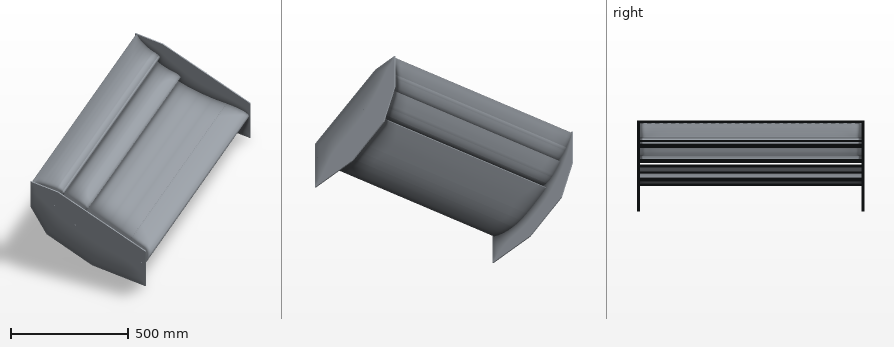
import cadquery as cq


span = 960.0
plate_length = 555.0
plate_height = 380.0
plate_thickness = 5.0
foil_span = span - 2 * plate_thickness

top_flat_length = 133.0
front_edge_height = 222.0
bottom_flat_start = 297.0
rear_corner_height = 222.0
lower_corner = (78.0, 84.0)

hole_diameter = 5.0
hole_centres = [(116.0, 286.0), (216.0, 216.0), (536.0, 141.0)]

upper_flap_start = (9.0, 379.0)
upper_flap_arcs = [
    ((42.0, 337.0), (88.0, 310.0)),
    ((103.0, 306.0), (114.0, 298.0)),
    ((121.0, 289.0), (114.0, 281.0)),
    ((109.0, 279.0), (105.0, 279.0)),
    ((93.0, 281.0), (82.0, 286.0)),
    ((66.0, 296.0), (52.0, 309.0)),
    ((46.0, 315.0), (42.0, 322.0)),
    ((20.0, 347.0), (4.0, 373.0)),
]

lower_flap_start = (86.0, 274.0)
lower_flap_arcs = [
    ((131.0, 246.0), (181.0, 233.0)),
    ((198.0, 230.0), (211.0, 225.0)),
    ((218.0, 220.0), (221.0, 216.0)),
    ((218.0, 211.0), (211.0, 209.0)),
    ((195.0, 208.0), (179.0, 208.0)),
    ((160.0, 213.0), (144.0, 222.0)),
    ((136.0, 226.0), (129.0, 231.0)),
    ((105.0, 251.0), (84.0, 271.0)),
]

main_plane_start = (192.0, 189.0)
main_plane_arcs = [
    ((312.0, 164.0), (440.0, 162.0)),
    ((442.0, 163.0), (444.0, 162.0)),
    ((485.0, 162.0), (525.0, 156.0)),
    ((536.0, 153.0), (544.0, 147.0)),
    ((548.0, 143.0), (550.0, 137.0)),
    ((548.0, 132.0), (544.0, 129.0)),
    ((480.0, 112.0), (413.0, 108.0)),
    ((386.0, 110.0), (360.0, 115.0)),
    ((338.0, 121.0), (317.0, 128.0)),
    ((248.0, 155.0), (181.0, 186.0)),
    ((184.0, 192.0), main_plane_start),
]


def xz_plane(y):
    """Sketch plane at the given Y whose normal points toward -Y."""
    return cq.Workplane("XZ", origin=(0, y, 0))


def make_end_plate(outer_y):
    """Flat plate with its -Y face at outer_y and three through holes."""
    outline = [
        (0, plate_height),
        (top_flat_length, plate_height),
        (plate_length, front_edge_height),
        (plate_length, 0),
        (bottom_flat_start, 0),
        lower_corner,
        (0, rear_corner_height),
    ]
    plate = xz_plane(outer_y).polyline(outline).close().extrude(-plate_thickness)
    holes = (
        xz_plane(outer_y)
        .pushPoints(hole_centres)
        .circle(hole_diameter / 2)
        .extrude(-plate_thickness)
    )
    return plate.cut(holes)


def make_foil(start, arcs):
    """Foil of constant section filling the space between the end plates."""
    section = xz_plane(plate_thickness).moveTo(*start)
    for through_point, end_point in arcs:
        section = section.threePointArc(through_point, end_point)
    return section.close().extrude(-foil_span)


end_plates = [make_end_plate(y) for y in (0, span - plate_thickness)]
upper_flap = make_foil(upper_flap_start, upper_flap_arcs)
lower_flap = make_foil(lower_flap_start, lower_flap_arcs)
main_plane = make_foil(main_plane_start, main_plane_arcs)

result = cq.Compound.makeCompound([
    *[plate.val() for plate in end_plates],
    upper_flap.val(),
    lower_flap.val(),
    main_plane.val(),
])